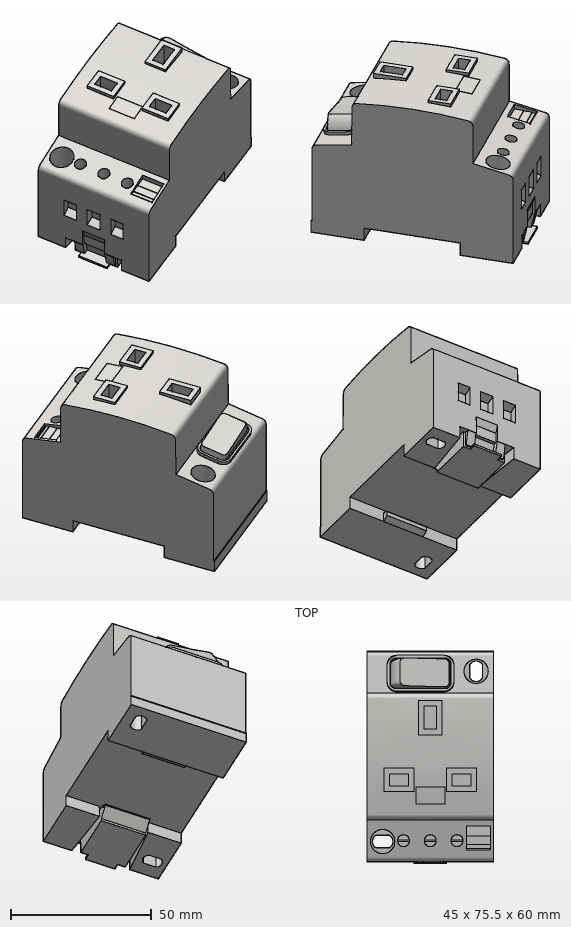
import cadquery as cq
import math


width = 45.0
back_y = 74.65
foot_back_y = 74.95
foot_lip_z = 4.6
shoulder_angle = 10.5
shoulder_root_z = 38.9
tower_front_y = 14.9
tower_back_y = 59.9
tower_front_draft = 0.1
tower_back_draft = 0.2
tower_edge_z = 56.1
crown_z = 57.5
edge_radius = 2.0

rail_front_y = 19.6
rail_back_y = 55.25
rail_z = 5.05
hook_half_width = 8.3
hook_reach = 2.2
hook_tip_low_z = 1.35
hook_tip_high_z = 3.2
hook_top_z = 3.9

notch_half_width = 11.3
notch_inner_half_width = 9.5
clip_half_width = 8.7
clip_front_y = 1.9
clip_back_y = 19.4
clip_bottom_z = -1.6
clip_neck_y = 20.7
clip_neck_z = 4.0
clip_hook_y = 22.9
clip_hook_high_z = 3.55
clip_hook_low_z = 3.0
clip_heel_z = -0.5
wedge_half_width = 7.85
wedge_top_y = 0.15
wedge_bottom_y = 1.35
tab_half_width = 5.7
tab_front_y = -0.5
tab_thickness = 0.8
tab_top_z = clip_bottom_z + tab_thickness

driver_half_width = 4.45
driver_top_z = 12.3
driver_slope_z = 9.3
driver_depth = 1.0
driver_lower_y = 2.2
driver_bottom_y = 3.4

terminal_pitch = 9.5
screw_y = 7.55
screw_hole_radius = 2.1
screw_head_z = 32.45
screw_slot_width = 0.5
screw_slot_depth = 0.75
cable_top_z = 24.45
cable_bottom_z = 16.5
cable_depth = 3.0
cable_lip_depth = 1.1
cable_lip_rise = 0.5
cable_taper_rise = 1.35
outer_cable_width = 5.0
middle_cable_width = 5.2
middle_cable_taper = 0.3

mount_bore_radius = 4.3
mount_bore_floor_z = 9.8
mount_slot_half_length = 3.6
mount_slot_half_width = 2.2
mount_slot_half_straight = 2.4
front_mount = (-16.9, 7.25)
back_mount = (16.3, 67.7)

window_x = (12.8, 21.4)
window_front_y = 4.2
window_floors = [(12.75, 36.5), (9.2, 36.4), (6.1, 36.15), (4.8, 35.8)]

frame_top_z = 58.35
frame_base_z = 54.35
pin_floor_z = 49.05
earth_y = 51.25
earth_frame = (8.3, 12.2)
earth_pin = (4.3, 8.2)
live_x = 11.1
live_y = 29.1
live_frame = (10.7, 8.4)
live_pin = (6.8, 4.3)

label_size = (10.2, 6.1)
label_center = (0.1, 23.55)
label_depth = 0.1

switch_x = -3.5
switch_y = 66.8
switch_size = (23.7, 13.0)
switch_radius = 3.5
switch_thickness = 1.3
opening_size = (21.75, 11.0)
opening_radius = 2.3
opening_depth = 0.75
rocker_x = (-14.2, 7.1)
rocker_y = (-5.3, 4.75)
rocker_high_x = -10.7
rocker_low_x = 6.65
rocker_high = 5.9
rocker_low = 3.2
rocker_sag = 0.15
rocker_bulge = (-12.8, 3.6)
rocker_radius = 1.4

slope = math.tan(math.radians(shoulder_angle))
overcut = 0.75


def box_between(x, y, z):
    """Box spanning the three (low, high) ranges."""
    size = (x[1] - x[0], y[1] - y[0], z[1] - z[0])
    return cq.Workplane("XY").box(*size, centered=False).translate((x[0], y[0], z[0]))


def make_block(center, size, bottom_z, top_z):
    """Upright block with its (X, Y) size centred on a point."""
    x, y = center
    return cq.Workplane("XY").box(*size, top_z - bottom_z).translate((x, y, (bottom_z + top_z) / 2))


def side_prism(points, half_width, center_x=0.0):
    """Closed (Y, Z) outline extruded evenly to both sides of center_x."""
    plane = cq.Workplane("YZ").workplane(offset=center_x)
    return plane.polyline(points).close().extrude(half_width, both=True)


def make_housing():
    """Stepped housing with two sloped shoulders, a crowned tower and the rail slot."""
    front_edge_z = shoulder_root_z - slope * tower_front_y
    back_edge_z = shoulder_root_z - slope * (back_y - tower_back_y)
    crown_middle_y = (tower_front_y + tower_back_y) / 2
    crown_front_y = tower_front_y + tower_front_draft
    crown_back_y = tower_back_y - tower_back_draft
    housing = (
        cq.Workplane("YZ")
        .moveTo(0, 0)
        .lineTo(0, front_edge_z)
        .lineTo(tower_front_y, shoulder_root_z)
        .lineTo(crown_front_y, tower_edge_z)
        .threePointArc((crown_middle_y, crown_z), (crown_back_y, tower_edge_z))
        .lineTo(tower_back_y, shoulder_root_z)
        .lineTo(back_y, back_edge_z)
        .lineTo(back_y, foot_lip_z)
        .lineTo(foot_back_y, foot_lip_z)
        .lineTo(foot_back_y, 0)
        .lineTo(rail_back_y, 0)
        .lineTo(rail_back_y, rail_z)
        .lineTo(rail_front_y, rail_z)
        .lineTo(rail_front_y, 0)
        .close()
        .extrude(width / 2, both=True)
    )
    rounded = [
        (0, front_edge_z),
        (crown_front_y, tower_edge_z),
        (crown_back_y, tower_edge_z),
        (back_y, back_edge_z),
    ]
    for y, z in rounded:
        housing = housing.edges(cq.NearestToPointSelector((0, y, z))).fillet(edge_radius)
    return housing


def make_fixed_hook():
    """Hook on the back wall of the rail slot, rooted a little inside the foot."""
    root_y = rail_back_y + overcut
    tip_y = rail_back_y - hook_reach
    return side_prism(
        [
            (root_y, 0),
            (rail_back_y, 0),
            (tip_y, hook_tip_low_z),
            (tip_y, hook_tip_high_z),
            (rail_back_y, hook_top_z),
            (root_y, hook_top_z),
        ],
        hook_half_width,
    )


def make_notch():
    """Opening for the clip, through the front foot from the front wall to the rail slot."""
    return (
        cq.Workplane("XY")
        .polyline(
            [
                (-notch_half_width, 0),
                (notch_half_width, 0),
                (notch_inner_half_width, rail_front_y),
                (-notch_inner_half_width, rail_front_y),
            ]
        )
        .close()
        .extrude(rail_z)
    )


def make_driver_recess():
    """Recess with a sloped roof, a flat back and a deeper sloped part that ends on the tab."""
    return side_prism(
        [
            (-overcut, driver_top_z),
            (0, driver_top_z),
            (driver_depth, driver_slope_z),
            (driver_depth, rail_z),
            (driver_lower_y, rail_z),
            (driver_bottom_y, tab_top_z),
            (-overcut, tab_top_z),
        ],
        driver_half_width,
    )


def make_clip():
    """Clip block with a hook at the rail, a sloped wedge in front and a pull tab below."""
    block = side_prism(
        [
            (clip_front_y, clip_bottom_z),
            (clip_front_y, rail_z),
            (clip_neck_y, rail_z),
            (clip_neck_y, clip_neck_z),
            (clip_hook_y, clip_hook_high_z),
            (clip_hook_y, clip_hook_low_z),
            (clip_back_y, clip_heel_z),
            (clip_back_y, clip_bottom_z),
        ],
        clip_half_width,
    )
    wedge = side_prism(
        [
            (wedge_top_y, rail_z),
            (wedge_bottom_y, tab_top_z),
            (clip_front_y, tab_top_z),
            (clip_front_y, rail_z),
        ],
        wedge_half_width,
    )
    tab = box_between(
        (-tab_half_width, tab_half_width), (tab_front_y, clip_front_y), (clip_bottom_z, tab_top_z)
    )
    return block.union(wedge).union(tab)


def make_cable_entry(center_x, entry_width, taper):
    """Funnel through the front wall: sloped roof and a floor that rises in two slopes."""
    half = entry_width / 2
    funnel = side_prism(
        [
            (0, cable_bottom_z),
            (cable_lip_depth, cable_bottom_z + cable_lip_rise),
            (cable_depth, cable_bottom_z + cable_taper_rise),
            (cable_depth, cable_top_z - cable_taper_rise),
            (0, cable_top_z),
        ],
        half,
        center_x,
    )
    plan = [(-half, 0), (half, 0), (half - taper, cable_depth), (taper - half, cable_depth)]
    sides = cq.Workplane("XY").polyline(plan).close().extrude(cable_top_z)
    return funnel.intersect(sides.translate((center_x, 0, 0)))


def make_screw_hole(center_x):
    """Round hole down to a screw head with a driver slot across it."""
    hole = (
        cq.Workplane("XY")
        .workplane(offset=screw_head_z)
        .center(center_x, screw_y)
        .circle(screw_hole_radius)
        .extrude(shoulder_root_z - screw_head_z)
    )
    slot_length = 2 * math.sqrt(screw_hole_radius**2 - (screw_slot_width / 2) ** 2)
    slot_size = (slot_length, screw_slot_width)
    slot = make_block((center_x, screw_y), slot_size, screw_head_z - screw_slot_depth, screw_head_z)
    return hole.union(slot)


def make_mounting_hole(center, turn):
    """Round bore above a round-ended slot that passes through the foot."""
    bore = (
        cq.Workplane("XY")
        .workplane(offset=mount_bore_floor_z)
        .circle(mount_bore_radius)
        .extrude(shoulder_root_z - mount_bore_floor_z)
    )
    slot = (
        cq.Workplane("XY")
        .moveTo(-mount_slot_half_straight, -mount_slot_half_width)
        .lineTo(mount_slot_half_straight, -mount_slot_half_width)
        .threePointArc((mount_slot_half_length, 0), (mount_slot_half_straight, mount_slot_half_width))
        .lineTo(-mount_slot_half_straight, mount_slot_half_width)
        .threePointArc((-mount_slot_half_length, 0), (-mount_slot_half_straight, -mount_slot_half_width))
        .close()
        .extrude(mount_bore_floor_z)
        .rotate((0, 0, 0), (0, 0, 1), turn)
    )
    return bore.union(slot).translate((*center, 0))


def make_window():
    """Recess in the front shoulder whose floor steps down towards the front."""
    window = cq.Workplane("XY")
    for floor_back_y, floor_z in window_floors:
        level = box_between(window_x, (window_front_y, floor_back_y), (floor_z, shoulder_root_z))
        window = window.union(level)
    return window


def make_rounded_block(size, radius, bottom_z, top_z):
    """Block centred on the switch, with rounded upright edges."""
    return make_block((switch_x, 0), size, bottom_z, top_z).edges("|Z").fillet(radius)


def make_rocker():
    """Rocker pressed down on its +X side, with a bulged -X side and rounded corners."""
    left, right = rocker_x
    front, back = rocker_y
    middle = ((rocker_high_x + rocker_low_x) / 2, (rocker_high + rocker_low) / 2 - rocker_sag)
    return (
        cq.Workplane("XZ", origin=(0, back, 0))
        .moveTo(left, 0)
        .threePointArc(rocker_bulge, (rocker_high_x, rocker_high))
        .threePointArc(middle, (rocker_low_x, rocker_low))
        .lineTo(right, 0)
        .close()
        .extrude(back - front)
        .faces("<X or >X")
        .edges("not |Y")
        .fillet(rocker_radius)
    )


def make_switch():
    """Base plate with a rocker in its opening, built flat and then tilted onto the back shoulder."""
    plate = make_rounded_block(switch_size, switch_radius, -overcut, switch_thickness)
    opening_z = switch_thickness - opening_depth
    opening = make_rounded_block(opening_size, opening_radius, opening_z, switch_thickness)
    switch = plate.cut(opening).union(make_rocker())
    seat_z = shoulder_root_z - slope * (switch_y - tower_back_y)
    return switch.rotate((0, 0, 0), (1, 0, 0), -shoulder_angle).translate((0, switch_y, seat_z))


housing = make_housing()
label = make_block(label_center, label_size, frame_base_z, frame_top_z)
label_recess = label.cut(housing.translate((0, 0, -label_depth)))

result = housing.cut(make_notch()).union(make_fixed_hook()).union(make_clip()).cut(make_driver_recess())

for side in (-1, 0, 1):
    terminal_x = side * terminal_pitch
    result = result.cut(make_screw_hole(terminal_x))
    if side:
        result = result.cut(make_cable_entry(terminal_x, outer_cable_width, 0.0))
    else:
        result = result.cut(make_cable_entry(terminal_x, middle_cable_width, middle_cable_taper))

result = result.cut(make_mounting_hole(front_mount, 0)).cut(make_mounting_hole(back_mount, 90))
result = result.cut(make_window()).union(make_switch())

result = result.cut(label_recess)
sockets = [((0, earth_y), earth_frame, earth_pin)]
sockets += [((side * live_x, live_y), live_frame, live_pin) for side in (-1, 1)]
for center, frame, pin in sockets:
    result = result.union(make_block(center, frame, frame_base_z, frame_top_z))
    result = result.cut(make_block(center, pin, pin_floor_z, frame_top_z))